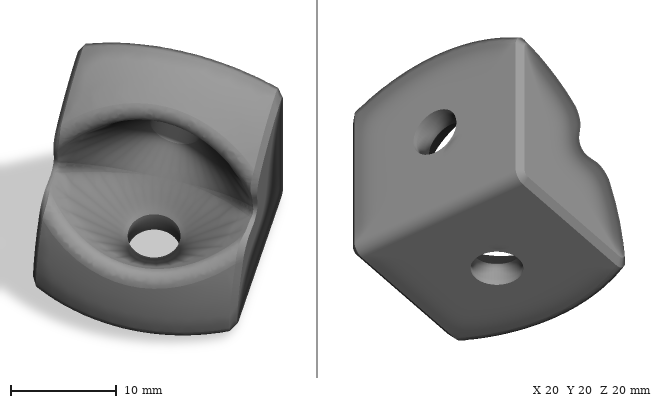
import cadquery as cq

WIDTH = 20.0
DOME_RADIUS = 20.0
HOLE_DIAMETER = 5.0
HOLE_OFFSET = 10.0
RIM_RADIUS = 1.2
CORNER_RADIUS = 1.2
CREASE_RADIUS = 1.0
SIDE_CHAMFER = 0.6
CREASE_START = 0.4

BACK_Y = DOME_RADIUS / 2
CUTTER_SIZE = 3 * DOME_RADIUS
OVERHANG = 2.0
TOLERANCE = 0.02

HOLE_AXES = (
    (cq.Vector(0, BACK_Y - HOLE_OFFSET, 0), cq.Vector(0, 0, 1)),
    (cq.Vector(0, BACK_Y, HOLE_OFFSET), cq.Vector(0, -1, 0)),
)


def make_quarter_dome():
    """Quarter ball trimmed to flat sides, with a flat back and a flat bottom."""
    ball = cq.Workplane("XY").sphere(DOME_RADIUS)
    block = (
        cq.Workplane("XY")
        .box(WIDTH, DOME_RADIUS, DOME_RADIUS, centered=(True, False, False))
        .translate((0, -DOME_RADIUS, 0))
    )
    return ball.intersect(block).translate((0, BACK_Y, 0))


def make_recess():
    """Space shared by two 45 degree cones whose tips lie on the bottom and the back."""
    upward, forward = [
        cq.Solid.makeCone(0, DOME_RADIUS, DOME_RADIUS, base, direction)
        for base, direction in HOLE_AXES
    ]
    return cq.Workplane(upward.intersect(forward))


def make_crease_fill(recess):
    """Material that rounds the valley; the cones are tangent at the middle and part towards the sides."""
    slab_width = WIDTH / 2 + OVERHANG - CREASE_START
    side_slab = (
        cq.Workplane("XY")
        .box(slab_width, CUTTER_SIZE, CUTTER_SIZE, centered=(False, True, True))
        .translate((CREASE_START, 0, 0))
    )
    half_recess = recess.intersect(side_slab)
    valley = half_recess.edges("%PARABOLA").edges("<Z")
    fill = half_recess.cut(valley.fillet(CREASE_RADIUS))
    fill = fill.intersect(cq.Workplane("XY").box(WIDTH, CUTTER_SIZE, CUTTER_SIZE))
    return fill.union(fill.mirror("YZ"))


def round_rim(body):
    """Round the two edges where the cones break through the dome."""
    dome_centre = cq.Vector(0, BACK_Y, 0)

    def is_rim(edge):
        on_dome = abs((edge.startPoint() - dome_centre).Length - DOME_RADIUS) < TOLERANCE
        return on_dome and edge.BoundingBox().xlen > WIDTH / 2

    return body.newObject([e for e in body.edges("%BSPLINE").vals() if is_rim(e)]).fillet(RIM_RADIUS)


def round_corners(body):
    """Round every cross edge of the flat back and the flat bottom."""

    def is_corner(edge):
        centre = edge.Center()
        on_flat = abs(centre.y - BACK_Y) < TOLERANCE or abs(centre.z) < TOLERANCE
        return on_flat and edge.BoundingBox().xlen > WIDTH / 2 - TOLERANCE

    return body.newObject([e for e in body.edges().vals() if is_corner(e)]).fillet(CORNER_RADIUS)


def drill_holes(body):
    """Drill both through holes."""
    for base, direction in HOLE_AXES:
        drill = cq.Solid.makeCylinder(HOLE_DIAMETER / 2, HOLE_OFFSET, base, direction)
        body = body.cut(cq.Workplane(drill))
    return body


recess = make_recess()
body = make_quarter_dome().cut(recess).union(make_crease_fill(recess))
body = round_corners(body)
body = round_rim(body)
body = body.faces("<X or >X").chamfer(SIDE_CHAMFER)
result = drill_holes(body)